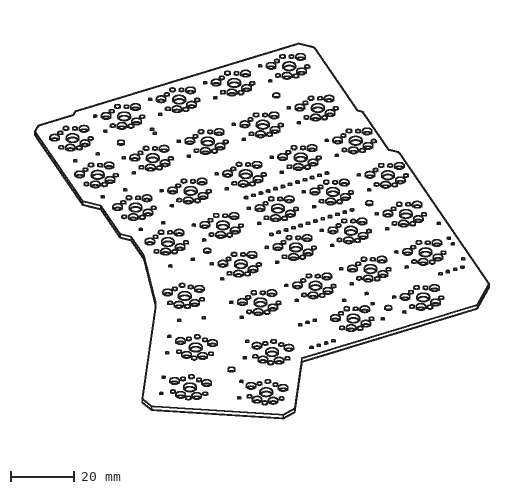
import cadquery as cq
import math

length_x = 157.8
width_y = 121.98
thickness = 1.6
right_x = length_x / 2
left_x = -length_x / 2
top_y = width_y / 2
bottom_y = -width_y / 2

main_right_x = 57.0
waist_y = -7.25
top_left_y = 57.3
top_middle_y = 58.5
top_middle_x = -41.2
top_right_x = -19.0
top_left_cut = 3.7
top_right_cut = 7.6
foot_left_x = -77.6
foot_step_y = -23.8
foot_cut = 2.1
foot_y = -39.3
foot_right_x = -39.25
heel_y = -35.0
arch_y = -32.4
arch_left_x = -17.63
arch_right_x = -7.9
thumb_start = (14.4, -38.38)
thumb_tilt = 30.0
thumb_cut = 3.3

key_pitch = 19.05
rows_per_column = 4
second_column_x = -48.68
outer_column_x = -70.39
column_tops = [
    (outer_column_x, 46.42),
    (second_column_x, 46.42),
    (second_column_x + key_pitch, 50.86),
    (second_column_x + 2 * key_pitch, 53.33),
    (second_column_x + 3 * key_pitch, 50.86),
    (second_column_x + 4 * key_pitch, 48.97),
]
columns_with_bottom_key = 4
outer_bottom_key_x = -67.75
inner_keys = [(46.6, 39.48), (46.6, 15.3)]
first_thumb_key = (14.83, -28.6)
first_thumb_tilt = 15.0
thumb_keys = [(38.41, -35.55), (54.83, -45.08), (50.42, -14.58), (66.91, -24.12)]

stem_diameter = 3.99
socket_diameter = 3.0
peg_diameter = 1.7
pin_diameter = 1.5
peg_offset = 5.08
near_pin = (2.54, 5.08)
far_pin = (3.81, 2.54)

lead_diameter = 0.95
lead_spacing = 7.8
diode_drop = 8.3
loose_diodes = [
    (-57.65, -29.6, 90),
    (-38.6, -28.8, 90),
    (-19.5, -24.28, 90),
    (0.1, -22.98, 90),
    (25.67, -31.2, 90 - first_thumb_tilt),
    (33.65, -42.9, -thumb_tilt),
    (50.4, -52.55, -thumb_tilt),
    (45.9, -21.55, -thumb_tilt),
    (62.45, -31.1, -thumb_tilt),
    (46.6, 31.2, 0),
    (46.6, 23.7, 0),
    (37.6, 20.1, 90),
    (20.6, 58.45, 0),
    (31.4, 58.45, 0),
]

pin_pitch = 2.54
controller_pin_diameter = 1.09
controller_pins = 12
controller_columns_x = [-19.45, -0.3]
controller_y = 22.25
header_diameter = 1.0
small_headers = [(38.75, 52.85, 4), (53.6, 1.4, 4), (42.3, 1.35, 3)]
battery_pin_spacing = 2.1
battery_centre = (-60.1, -5.3)

mount_diameter = 2.2
mount_points = [
    (-59.5, -16.8),
    (-59.5, 37.0),
    (-1.7, -13.3),
    (-1.0, 42.55),
    (46.6, 27.4),
    (52.6, -29.65),
]


def turned(point, angle):
    """Rotate a point about the origin by an angle in degrees."""
    x, y = point
    c = math.cos(math.radians(angle))
    s = math.sin(math.radians(angle))
    return (x * c - y * s, x * s + y * c)


def placed(points, centre, angle=0):
    """Turn points about the origin, then move them to a centre."""
    moved = []
    for point in points:
        dx, dy = turned(point, angle)
        moved.append((centre[0] + dx, centre[1] + dy))
    return moved


def pin_row(count, pitch):
    """Points along X, centred on the origin."""
    return [((i - (count - 1) / 2) * pitch, 0) for i in range(count)]


def thumb_outline():
    """Chamfered right and bottom corners of the thumb cluster, in clockwise order.

    The right chamfer ends at right_x and the bottom chamfer ends at bottom_y.
    """
    slope = math.tan(math.radians(thumb_tilt))
    overhang = thumb_cut * math.sin(math.radians(thumb_tilt))
    right_corner_x = right_x + overhang
    bottom_corner_y = bottom_y - overhang
    right_corner = (right_corner_x, waist_y - (right_corner_x - main_right_x) * slope)
    bottom_corner = (thumb_start[0] + (thumb_start[1] - bottom_corner_y) / slope, bottom_corner_y)
    right_ends = placed([(-thumb_cut, 0), (0, -thumb_cut)], right_corner, -thumb_tilt)
    bottom_ends = placed([(0, thumb_cut), (-thumb_cut, 0)], bottom_corner, -thumb_tilt)
    return right_ends + bottom_ends


def make_board():
    top = [
        (left_x, top_left_y - top_left_cut),
        (left_x + top_left_cut, top_left_y),
        (top_middle_x - (top_middle_y - top_left_y), top_left_y),
        (top_middle_x, top_middle_y),
        (top_right_x - (top_y - top_middle_y), top_middle_y),
        (top_right_x, top_y),
        (main_right_x - top_right_cut, top_y),
        (main_right_x, top_y - top_right_cut),
        (main_right_x, waist_y),
    ]
    bottom = [
        thumb_start,
        (arch_right_x, arch_y),
        (arch_left_x, arch_y),
        (arch_left_x - (arch_y - heel_y), heel_y),
        (foot_right_x + (heel_y - foot_y), heel_y),
        (foot_right_x, foot_y),
        (foot_left_x + foot_cut, foot_y),
        (foot_left_x, foot_y + foot_cut),
        (foot_left_x, foot_step_y - (foot_left_x - left_x)),
        (left_x, foot_step_y),
    ]
    outline = top + thumb_outline() + bottom
    return cq.Workplane("XY").polyline(outline).close().extrude(thickness)


def key_places():
    """Centre and angle of every key, then the centres with a diode straight below."""
    with_diode = []
    for x, y in column_tops:
        for row in range(rows_per_column):
            with_diode.append((x, y - row * key_pitch))
    keys = [(centre, 0) for centre in with_diode]
    for x, y in column_tops[:columns_with_bottom_key]:
        bottom_x = outer_bottom_key_x if x == outer_column_x else x
        keys.append(((bottom_x, y - rows_per_column * key_pitch), 0))
    keys += [(centre, 0) for centre in inner_keys]
    keys.append((first_thumb_key, -first_thumb_tilt))
    keys += [(centre, -thumb_tilt) for centre in thumb_keys]
    return keys, with_diode


def drill(board, points, diameter):
    tools = cq.Workplane("XY").pushPoints(points).circle(diameter / 2).extrude(thickness)
    return board.cut(tools)


def drill_keys(board, keys):
    """Stem hole, two pegs, and contacts mirrored about X for a switch on either face."""
    near_x, near_y = near_pin
    far_x, far_y = far_pin
    sockets = [(-near_x, near_y), (far_x, far_y), (-near_x, -near_y), (far_x, -far_y)]
    pins = [(-x, y) for x, y in sockets]
    pegs = [(-peg_offset, 0), (peg_offset, 0)]
    groups = [
        ([(0, 0)], stem_diameter),
        (sockets, socket_diameter),
        (pins, pin_diameter),
        (pegs, peg_diameter),
    ]
    for offsets, diameter in groups:
        points = []
        for centre, angle in keys:
            points += placed(offsets, centre, angle)
        board = drill(board, points, diameter)
    return board


def drill_diodes(board, key_centres):
    leads = pin_row(2, lead_spacing)
    points = []
    for x, y in key_centres:
        points += placed(leads, (x, y - diode_drop))
    for x, y, angle in loose_diodes:
        points += placed(leads, (x, y), angle)
    return drill(board, points, lead_diameter)


def drill_headers(board):
    controller = []
    for x in controller_columns_x:
        controller += placed(pin_row(controller_pins, pin_pitch), (x, controller_y), 90)
    board = drill(board, controller, controller_pin_diameter)
    pins = placed(pin_row(2, battery_pin_spacing), battery_centre)
    for x, y, count in small_headers:
        pins += placed(pin_row(count, pin_pitch), (x, y), 90)
    return drill(board, pins, header_diameter)


keys, keys_with_diode = key_places()
result = make_board()
result = drill_keys(result, keys)
result = drill_diodes(result, keys_with_diode)
result = drill_headers(result)
result = drill(result, mount_points, mount_diameter)